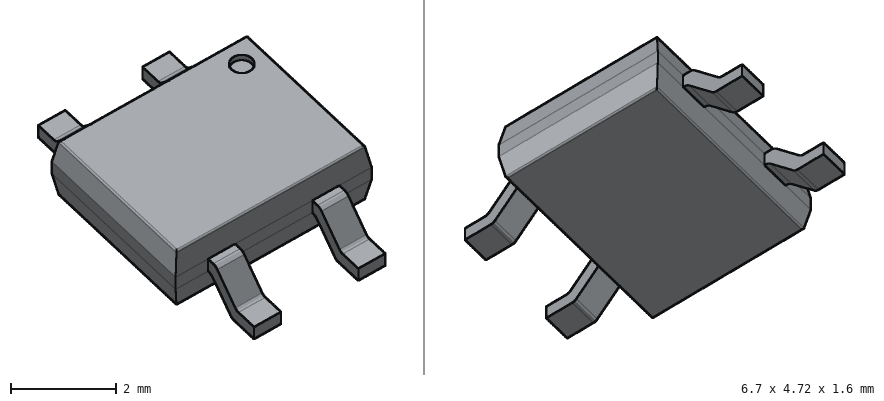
import cadquery as cq
import math

SPAN_X = 6.7
TOTAL_HEIGHT = 1.6

BODY_X = 3.845
BODY_Y = 4.72
BODY_BOTTOM = 0.11
DRAFT_ANGLE = 9.5
EDGE_RADIUS = 0.04
MARK_DIAMETER = 0.48
MARK_DEPTH = 0.15
MARK_X = -1.3
MARK_Y = 1.73

LEAD_WIDTH = 0.65
LEAD_THICKNESS = 0.335
LEAD_PITCH = 2.505
SHOULDER_TOP = 1.025
FOOT_LENGTH = 0.54
SLOPE_RUN = 0.65
FOOT_BEND_RADIUS = 0.135
SHOULDER_BEND_RADIUS = 0.175

SHOULDER_BOTTOM = SHOULDER_TOP - LEAD_THICKNESS


def make_housing():
    """Moulded housing with a straight middle band and drafted upper and lower halves."""
    band = (
        cq.Workplane("XY")
        .workplane(offset=SHOULDER_BOTTOM)
        .rect(BODY_X, BODY_Y)
        .extrude(LEAD_THICKNESS)
    )
    upper = band.faces(">Z").wires().toPending().extrude(
        TOTAL_HEIGHT - SHOULDER_TOP, taper=DRAFT_ANGLE, combine=False
    )
    lower = band.faces("<Z").wires().toPending().workplane().extrude(
        SHOULDER_BOTTOM - BODY_BOTTOM, taper=DRAFT_ANGLE, combine=False
    )
    housing = band.union(upper).union(lower)
    housing = housing.faces("<Z or >Z").edges().fillet(EDGE_RADIUS)
    pin_one_mark = (
        cq.Workplane("XY")
        .workplane(offset=TOTAL_HEIGHT - MARK_DEPTH)
        .center(MARK_X, MARK_Y)
        .circle(MARK_DIAMETER / 2)
        .extrude(MARK_DEPTH)
    )
    return housing.cut(pin_one_mark)


def make_lead(y_center):
    """Gull-wing lead on the -X side, ending flat against the housing wall."""
    tip_x = -SPAN_X / 2
    wall_x = -BODY_X / 2
    upper_foot_x = tip_x + FOOT_LENGTH
    upper_shoulder_x = upper_foot_x + SLOPE_RUN
    slope_angle = math.atan2(SHOULDER_TOP - LEAD_THICKNESS, SLOPE_RUN)
    corner_shift = LEAD_THICKNESS * math.tan(slope_angle / 2)
    lower_foot_x = upper_foot_x + corner_shift
    lower_shoulder_x = upper_shoulder_x + corner_shift
    lead = (
        cq.Workplane("XZ", origin=(0, y_center, 0))
        .moveTo(tip_x, 0)
        .lineTo(lower_foot_x, 0)
        .lineTo(lower_shoulder_x, SHOULDER_BOTTOM)
        .lineTo(wall_x, SHOULDER_BOTTOM)
        .lineTo(wall_x, SHOULDER_TOP)
        .lineTo(upper_shoulder_x, SHOULDER_TOP)
        .lineTo(upper_foot_x, LEAD_THICKNESS)
        .lineTo(tip_x, LEAD_THICKNESS)
        .close()
        .extrude(LEAD_WIDTH / 2, both=True)
    )
    foot_bend = [(upper_foot_x, LEAD_THICKNESS), (lower_foot_x, 0)]
    shoulder_bend = [(upper_shoulder_x, SHOULDER_TOP), (lower_shoulder_x, SHOULDER_BOTTOM)]
    for corners, radius in (
        (foot_bend, FOOT_BEND_RADIUS),
        (shoulder_bend, SHOULDER_BEND_RADIUS),
    ):
        for x, z in corners:
            edge_at_corner = cq.selectors.NearestToPointSelector((x, y_center, z))
            lead = lead.edges(edge_at_corner).fillet(radius)
    return lead


housing = make_housing()

leads = []
for y_center in (-LEAD_PITCH / 2, LEAD_PITCH / 2):
    left_lead = make_lead(y_center)
    leads.append(left_lead.val())
    leads.append(left_lead.mirror("YZ").val())

result = cq.Compound.makeCompound([housing.val(), *leads])